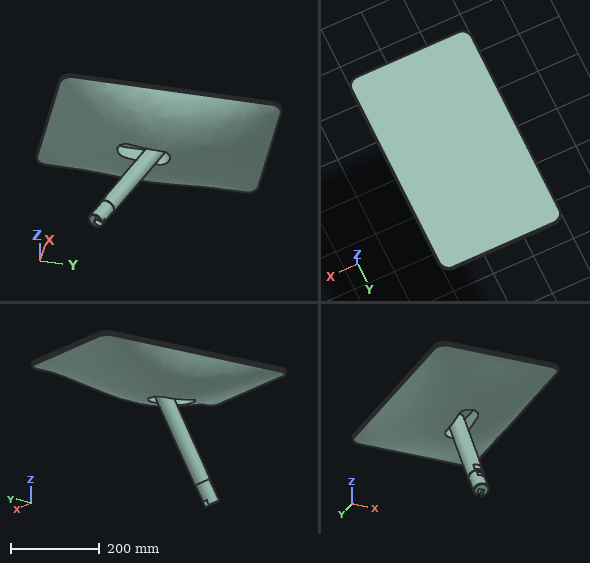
import cadquery as cq
import math

width = 303.5
length = 512.5
corner_radius = 25.5
parting_level = -5.0
side_draft = 10.0
cover_bevel = 1.5
rim_bottom = -8.5
dome_edge = -10.0
dome_inset = 1.5
overall_height = 307.5

dome_depth = 71.0
square_share = 0.6
side_power = 6
length_flare = 1.5
grid_steps = 24
grid_overlap = 1.01
dome_fit = 0.001

slot_width = 45.0
slot_front = -95.5
slot_floor = -41.0
mast_top_y = 2.5

mast_tilt = 30.0
sleeve_diameter = 38.5
tip_diameter = 35.5
end_diameter = 32.0
tip_length = 55.0
mast_stock_length = 359.0

window_size = 19.0
window_height = 68.5
window_corner = 3.0
window_depth = 0.5
button_size = 13.0
button_height = 43.0
button_depth = 0.5
keyway_width = 14.0
keyway_depth = 13.5
keyway_reach = 2.0

sleeve_radius = sleeve_diameter / 2
tip_radius = tip_diameter / 2
end_radius = end_diameter / 2
end_bevel = tip_radius - end_radius
tilt_radians = math.radians(mast_tilt)

keyway_corner = math.sqrt(end_radius**2 - (keyway_width / 2) ** 2)
end_z = -overall_height + keyway_corner * math.sin(tilt_radians)
end_y = mast_top_y - (slot_floor - end_z) * math.tan(tilt_radians)


def outline_block(start, height, inset=0.0, draft=0.0):
    """Rounded rectangular block from a start level, up or down, with optional inset and draft."""
    outline = (
        cq.Sketch()
        .rect(width - 2 * inset, length - 2 * inset)
        .vertices()
        .fillet(corner_radius - inset)
    )
    return cq.Workplane("XY", origin=(0, 0, start)).placeSketch(outline).extrude(height, taper=draft)


def make_cover():
    """Flat front cover with drafted sides and a bevelled top edge."""
    cover = outline_block(parting_level, -parting_level, draft=side_draft)
    return cover.faces(">Z").edges().chamfer(cover_bevel)


def dome_point(across, along):
    """Point of the dome for positions from -1 to 1 across and along the dish."""
    across_fall = square_share * across**2 + (1 - square_share) * across**side_power
    along_fall = (math.hypot(1, length_flare * along) - 1) / (math.hypot(1, length_flare) - 1)
    depth = dome_depth * (1 - across_fall) * (1 - along_fall)
    return cq.Vector(
        across * (width / 2 - dome_inset),
        along * (length / 2 - dome_inset),
        dome_edge - depth,
    )


def make_housing():
    """Drafted rim with the domed back below it and the mast slot cut into it."""
    steps = [grid_overlap * i / grid_steps for i in range(-grid_steps, grid_steps + 1)]
    grid = [[dome_point(across, along) for along in steps] for across in steps]
    dome_face = cq.Face.makeSplineApprox(grid, tol=dome_fit, minDeg=3, maxDeg=8)
    above_dome = cq.Solid.extrudeLinear(dome_face, cq.Vector(0, 0, 2 * dome_depth))
    dome_block = outline_block(parting_level, -2 * dome_depth, inset=dome_inset)
    dome = dome_block.intersect(cq.Workplane(above_dome))
    rim = outline_block(parting_level, rim_bottom - parting_level, draft=side_draft)
    housing = rim.union(dome)

    slot_back = mast_top_y + slot_width / 2
    slot = (
        cq.Workplane("XY", origin=(0, (slot_front + slot_back) / 2, slot_floor))
        .slot2D(slot_back - slot_front, slot_width, 90)
        .extrude(-dome_depth)
    )
    return housing.cut(slot)


def front_recess(size, height, outer_radius, depth, corner=0.0):
    """Square recess in the front of an upright mast, with a round floor."""
    block = cq.Workplane("XZ").center(0, height).rect(size, size).extrude(2 * outer_radius)
    if corner > 0:
        block = block.edges("|Y").fillet(corner)
    core = cq.Workplane("XY").circle(outer_radius - depth).extrude(mast_stock_length)
    return block.cut(core)


def make_mast():
    """Stepped round mast, built upright, then tilted and trimmed flush with the slot floor."""
    tip = cq.Workplane("XY").circle(tip_radius).extrude(tip_length).faces("<Z").chamfer(end_bevel)
    sleeve = (
        cq.Workplane("XY")
        .workplane(offset=tip_length)
        .circle(sleeve_radius)
        .extrude(mast_stock_length - tip_length)
    )
    mast = tip.union(sleeve)

    window = front_recess(window_size, window_height, sleeve_radius, window_depth, window_corner)
    button = front_recess(button_size, button_height, tip_radius, button_depth)
    mast = mast.cut(window).cut(button)

    keyway = cq.Workplane("XY").box(
        keyway_width, tip_radius + keyway_reach, keyway_depth, centered=(True, False, False)
    )
    mast = mast.cut(keyway.translate((0, -keyway_reach, 0)))

    mast = mast.rotate((0, 0, 0), (1, 0, 0), -mast_tilt).translate((0, end_y, end_z))
    below_floor = (
        cq.Workplane("XY").workplane(offset=slot_floor).rect(2 * length, 2 * length).extrude(-overall_height)
    )
    return mast.intersect(below_floor)


cover = make_cover()
housing = make_housing()
mast = make_mast()

result = cq.Compound.makeCompound([cover.val(), housing.val(), mast.val()])